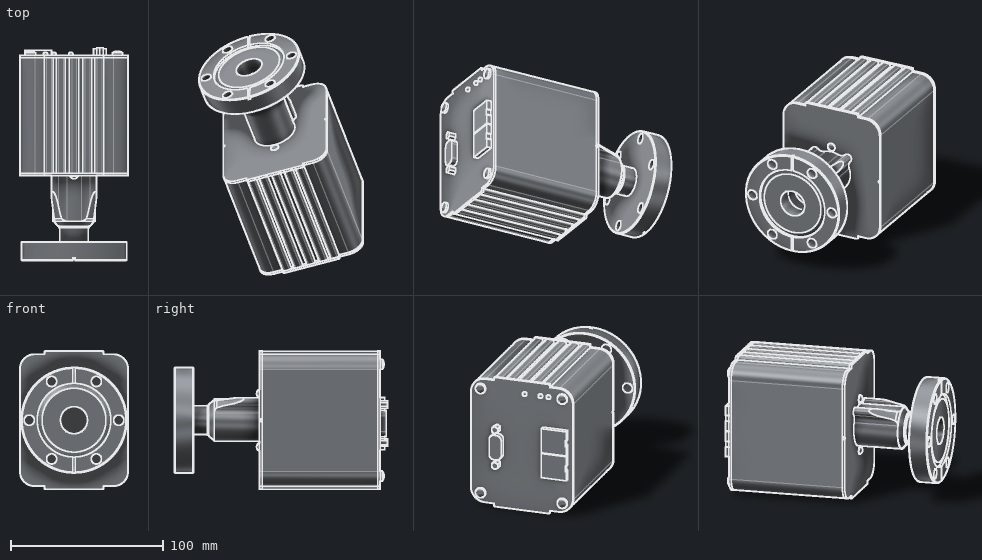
import cadquery as cq
import math


flange_back_y = 12.6
collar_front_y = 21.5
cone_front_y = 22.6
magnet_front_y = 26.0
case_front_y = 55.8
case_back_y = 134.9
overall_length = 139.8

flange_diameter = 69.3
flange_edge_chamfer = 0.5
recess_diameter = 48.4
recess_depth = 1.8
knife_edge_diameter = 41.9
knife_edge_depth = 0.7
leak_groove_width = 1.5
leak_groove_depth = 1.8
bolt_count = 6
bolt_hole_diameter = 6.7
bolt_circle_radius = 29.3

bore_diameter = 17.7
tube_diameter = 19.0
collar_diameter = 19.8
cone_small_diameter = 21.2
cone_large_diameter = 26.8
magnet_diameter = 28
ear_radius = 2.8
ear_center_radius = 17.0
ear_angles = (45, 135)
flute_radius = 5.2

ear_cut_back_y = 45.4
ear_cut_step_y = 27.7
ear_cut_large_radius = ear_center_radius + ear_radius
ear_cut_step_radius = 15.4

case_width = 71.1
case_height = 86.7
case_corner_radius = 9.8
shell_inset = 0.07
pad_width = 38.9
pad_height = 2.1
plate_thickness = 1.7
plate_pad_fillet = 0.8
rib_width = 6.0
outer_rib_offset = 16.5
inner_rib_offset = 8.7
rib_fillet = 1.4
side_notch_width = 2.1
side_notch_depth = 1.0

front_screw_diameter = 5.3
front_screw_rim = 0.3
front_screw_crown = 1.7
front_screw_z = 17.5
back_screw_diameter = 6.7
back_screw_rim = 1.4
back_screw_crown = 1.3
back_screw_x = 28.5
back_screw_z = 36.6
lamp_diameter = 3.0
lamp_rim = 0.7
lamp_crown = 1.3
lamp_xs = (-18.7, -13.1, -2.1)
lamp_z = back_screw_z

connector_z = -2.2
socket_x = -23.5
socket_width = 17.5
socket_height = 16.9
socket_gap = 0.5
socket_depth = 3.2
socket_slot_offset = 8.8
socket_slot_width = 3.9
socket_slot_depth = 0.7
plug_x = 17.0
plug_width = 8.5
plug_height = 17.2
plug_depth = 4.2
plug_corner_radius = 3.5
jack_screw_spacing = 25.0
jack_screw_flats = 4.3

overlap = 0.7


def section(y):
    """Work plane across the tube axis at y, extruding towards +Y, with X to the right and Z up."""
    return cq.Workplane(cq.Plane(origin=(0, y, 0), xDir=(1, 0, 0), normal=(0, -1, 0)))


def across(profile, length):
    """Extrude a cross-section towards +Y."""
    return profile.extrude(-length)


def turned(points):
    """Revolve (radius, y) points about the tube axis."""
    return cq.Workplane("XY").polyline(points).close().revolve(360, (0, 0, 0), (0, 1, 0))


def block(x, z, width, height, y_start, y_end):
    return across(section(y_start).center(x, z).rect(width, height), y_end - y_start)


def domed_head(x, z, y_face, direction, diameter, rim, crown):
    """Round head on a face, with a short straight rim and a spherical crown."""
    radius = diameter / 2
    sphere_radius = (radius**2 + crown**2) / (2 * crown)
    mid_angle = math.asin(radius / sphere_radius) / 2
    mid_height = rim + crown - sphere_radius * (1 - math.cos(mid_angle))
    head = (
        cq.Workplane("XY")
        .moveTo(0, -direction * overlap)
        .lineTo(radius, -direction * overlap)
        .lineTo(radius, direction * rim)
        .threePointArc(
            (sphere_radius * math.sin(mid_angle), direction * mid_height),
            (0, direction * (rim + crown)),
        )
        .close()
        .revolve(360, (0, 0, 0), (0, 1, 0))
    )
    return head.translate((x, y_face, z))


def make_flange():
    flange = across(section(0).circle(flange_diameter / 2), flange_back_y)
    flange = flange.faces("<Y or >Y").edges().chamfer(flange_edge_chamfer)
    bolt_holes = section(0).polarArray(bolt_circle_radius, 0, 360, bolt_count).circle(bolt_hole_diameter / 2)
    flange = flange.cut(across(bolt_holes, flange_back_y))

    leak_groove = block(0, 0, leak_groove_width, flange_diameter, 0, leak_groove_depth)
    knife_edge_core = across(section(0).circle(recess_diameter / 2), leak_groove_depth)
    flange = flange.cut(leak_groove.cut(knife_edge_core))

    recess = turned([
        (0, 0),
        (recess_diameter / 2, 0),
        (recess_diameter / 2, recess_depth),
        (knife_edge_diameter / 2, knife_edge_depth),
        (0, knife_edge_depth),
    ])
    return flange.cut(recess)


def make_tube():
    return turned([
        (0, flange_back_y - overlap),
        (tube_diameter / 2, flange_back_y - overlap),
        (tube_diameter / 2, collar_front_y),
        (collar_diameter / 2, collar_front_y),
        (collar_diameter / 2, cone_front_y),
        (cone_small_diameter / 2, cone_front_y),
        (cone_large_diameter / 2, magnet_front_y),
        (cone_large_diameter / 2, magnet_front_y + overlap),
        (0, magnet_front_y + overlap),
    ])


def ear_profile(ear_angle):
    """Rounded ear joined to the round housing by a tangent hollow flute on each side."""
    magnet_radius = magnet_diameter / 2
    flute_center_radius = magnet_radius + flute_radius
    ear_to_flute = ear_radius + flute_radius
    flute_spread = math.acos(
        (flute_center_radius**2 + ear_center_radius**2 - ear_to_flute**2)
        / (2 * flute_center_radius * ear_center_radius)
    )
    axis = math.radians(ear_angle)
    ear_center = cq.Vector(math.cos(axis), math.sin(axis)) * ear_center_radius
    ear_tip = cq.Vector(math.cos(axis), math.sin(axis)) * (ear_center_radius + ear_radius)

    def flute_points(side):
        angle = axis + side * flute_spread
        outward = cq.Vector(math.cos(angle), math.sin(angle))
        center = outward * flute_center_radius
        to_ear = (ear_center - center).normalized()
        root = outward * magnet_radius
        middle = center + (to_ear - outward).normalized() * flute_radius
        ear_end = center + to_ear * flute_radius
        return [point.toTuple()[:2] for point in (root, middle, ear_end)]

    root_a, middle_a, end_a = flute_points(-1)
    root_b, middle_b, end_b = flute_points(1)
    return (
        section(magnet_front_y)
        .moveTo(*root_a)
        .threePointArc(middle_a, end_a)
        .threePointArc(ear_tip.toTuple()[:2], end_b)
        .threePointArc(middle_b, root_b)
        .lineTo(0, 0)
        .close()
    )


def make_magnet_housing():
    length = case_front_y + overlap - magnet_front_y
    housing = across(section(magnet_front_y).circle(magnet_diameter / 2), length)
    for angle in ear_angles:
        housing = housing.union(across(ear_profile(angle), length))
    envelope = turned([
        (0, magnet_front_y),
        (magnet_diameter / 2, magnet_front_y),
        (ear_cut_step_radius, ear_cut_step_y),
        (ear_cut_large_radius, ear_cut_back_y),
        (ear_cut_large_radius, case_front_y + overlap),
        (0, case_front_y + overlap),
    ])
    return housing.intersect(envelope)


def case_block(y_start, y_end, inset=0):
    """Rounded case section, drawn in from the full outline by the inset."""
    body = block(0, 0, case_width - 2 * inset, case_height - 2 * inset, y_start, y_end)
    return body.edges("|Y").fillet(case_corner_radius - inset)


def end_plate(y_start):
    y_end = y_start + plate_thickness
    pad = block(0, 0, pad_width, case_height + 2 * pad_height, y_start, y_end)
    pad = pad.edges("|Y").fillet(plate_pad_fillet)
    return case_block(y_start, y_end).union(pad)


def make_case():
    front_plate = end_plate(case_front_y)
    for side in (-1, 1):
        edge_x = side * case_width / 2
        notch = section(case_front_y).polyline([
            (edge_x, side_notch_width / 2),
            (edge_x - side * side_notch_depth, 0),
            (edge_x, -side_notch_width / 2),
        ])
        front_plate = front_plate.cut(across(notch.close(), plate_thickness))

    shell_start = case_front_y + plate_thickness
    shell_end = case_back_y - plate_thickness
    case = case_block(shell_start, shell_end, shell_inset).union(front_plate).union(end_plate(shell_end))
    rib_span = case_height + 2 * (pad_height - shell_inset)
    for rib_x in (-outer_rib_offset, -inner_rib_offset, 0, inner_rib_offset, outer_rib_offset):
        rib = block(rib_x, 0, rib_width, rib_span, shell_start, shell_end)
        case = case.union(rib.edges("|Y").fillet(rib_fillet))
    return case


def make_heads():
    heads = cq.Workplane("XY")
    for side in (-1, 1):
        heads = heads.add(domed_head(
            0, side * front_screw_z, case_front_y, -1,
            front_screw_diameter, front_screw_rim, front_screw_crown,
        ))
        for x in (-back_screw_x, back_screw_x):
            heads = heads.add(domed_head(
                x, side * back_screw_z, case_back_y, 1,
                back_screw_diameter, back_screw_rim, back_screw_crown,
            ))
    for x in lamp_xs:
        heads = heads.add(domed_head(x, lamp_z, case_back_y, 1, lamp_diameter, lamp_rim, lamp_crown))
    return heads.combine()


def make_socket(side):
    """One of two stacked sockets, with two slots down its outer side."""
    base_y = case_back_y - overlap
    top_y = case_back_y + socket_depth
    center_z = connector_z + side * (socket_height + socket_gap) / 2
    socket = block(socket_x, center_z, socket_width, socket_height, base_y, top_y)
    slot = block(
        socket_x - (socket_width - socket_slot_depth) / 2, connector_z + side * socket_slot_offset,
        socket_slot_depth, socket_slot_width, case_back_y, top_y,
    )
    return socket.cut(slot)


def make_plug():
    """Upright plug with rounded corners, between two hexagonal jack screws."""
    base_y = case_back_y - overlap
    plug = block(plug_x, connector_z, plug_width, plug_height, base_y, case_back_y + plug_depth)
    plug = plug.edges("|Y").fillet(plug_corner_radius)
    across_corners = jack_screw_flats / math.cos(math.radians(30))
    for side in (-1, 1):
        hexagon = (
            section(base_y)
            .center(plug_x, connector_z + side * jack_screw_spacing / 2)
            .transformed(rotate=(0, 0, 90))
            .polygon(6, across_corners)
        )
        plug = plug.union(across(hexagon, overall_length - base_y))
    return plug


bore = across(section(0).circle(bore_diameter / 2), case_front_y)

result = (
    make_flange()
    .union(make_tube())
    .union(make_magnet_housing())
    .cut(bore)
    .union(make_case())
    .union(make_heads())
    .union(make_socket(-1))
    .union(make_socket(1))
    .union(make_plug())
)